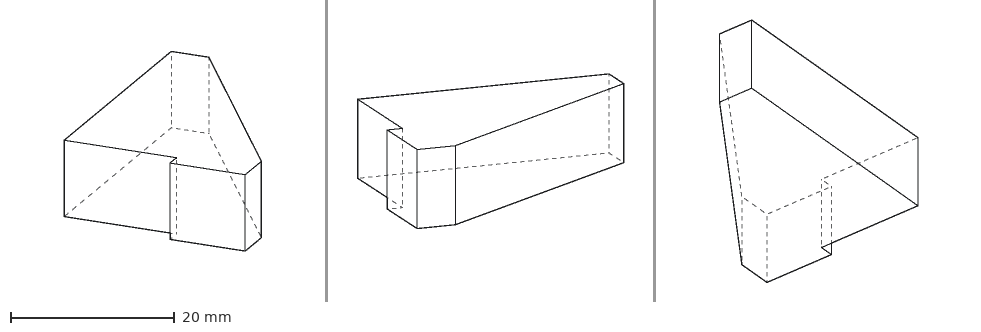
import cadquery as cq

width = 25.0
length = 35.0
thickness = 10.0

end_flat = 5.0

foot_width = 10.0
foot_depth = 2.0

foot_left = width - foot_width

outline = [
    (0, foot_depth),
    (foot_left, foot_depth),
    (foot_left, 0),
    (width, 0),
    (width, end_flat),
    (end_flat, length),
    (0, length),
]

result = cq.Workplane("XY").polyline(outline).close().extrude(thickness)